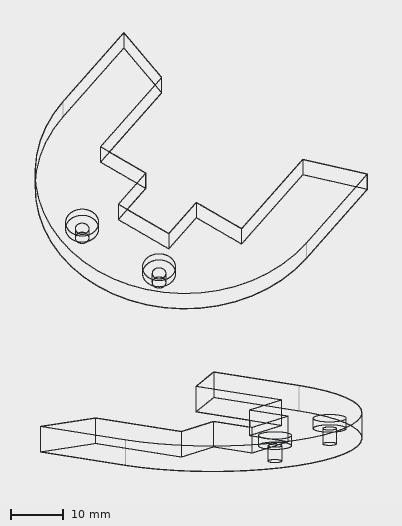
import cadquery as cq
import math

thickness = 5.0
outer_radius = 28.5
arm_width = 12.0
arm_inner_top = 15.5
tip_angle = 20.0

opening_depth_to_edge = 24.0
notch_width = 11.8
notch_depth_to_edge = 15.0

hole_spacing = 18.0
hole_to_edge = 7.5
hole_diameter = 2.6
counterbore_diameter = 6.3
counterbore_depth = 2.0

round_end_y = -outer_radius
inner_x = outer_radius - arm_width
arm_outer_top = arm_inner_top + arm_width * math.tan(math.radians(tip_angle))
opening_floor = round_end_y + opening_depth_to_edge
notch_floor = round_end_y + notch_depth_to_edge
hole_y = round_end_y + hole_to_edge


def make_plate():
    """U-shaped plate with sloped arm tips and a stepped opening."""
    notch_x = notch_width / 2
    return (
        cq.Workplane("XY")
        .moveTo(-outer_radius, arm_outer_top)
        .lineTo(-outer_radius, 0)
        .threePointArc((0, round_end_y), (outer_radius, 0))
        .lineTo(outer_radius, arm_outer_top)
        .lineTo(inner_x, arm_inner_top)
        .lineTo(inner_x, opening_floor)
        .lineTo(notch_x, opening_floor)
        .lineTo(notch_x, notch_floor)
        .lineTo(-notch_x, notch_floor)
        .lineTo(-notch_x, opening_floor)
        .lineTo(-inner_x, opening_floor)
        .lineTo(-inner_x, arm_inner_top)
        .close()
        .extrude(thickness)
    )


def cut_screw_holes(plate):
    """Cut the pair of counterbored through holes from the top face."""
    hole_centres = [(side * hole_spacing / 2, hole_y) for side in (-1, 1)]
    return (
        plate.faces(">Z")
        .workplane(origin=(0, 0, thickness))
        .pushPoints(hole_centres)
        .cboreHole(hole_diameter, counterbore_diameter, counterbore_depth)
    )


result = cut_screw_holes(make_plate())